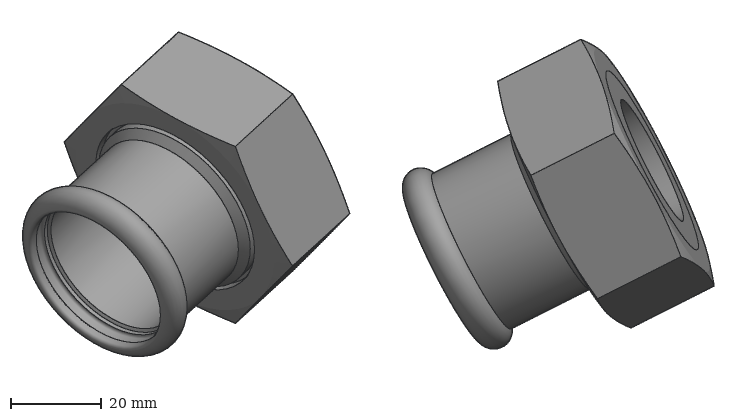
import cadquery as cq
import math

HEX_CORNERS = 63.5
HEX_FLATS = HEX_CORNERS * math.cos(math.radians(30))
NUT_LENGTH = 23.0
NUT_BORE = 44.15
CORNER_CHAMFER = 1.15

TOTAL_LENGTH = 52.15
COLLAR_DIAMETER = 42.2
FLANGE_LENGTH = 20.65
COLLAR_END = 23.25
TUBE_DIAMETER = 38.4
TUBE_BORE = 34.55
REAR_BORE = 30.0
STOP_BORE = 31.0
STOP_CHAMFER = (STOP_BORE - REAR_BORE) / 2
STOP_DEPTH = COLLAR_END

BEAD_DIAMETER = 43.8
BEAD_WIDTH = 7.5
GROOVE_DIAMETER = 37.35
GROOVE_WIDTH = 3.0
GROOVE_CORNER_RADIUS = 0.65
MOUTH_DIAMETER = 37.4
LIP_BORE = 35.8
LIP_BORE_DEPTH = 6.2
LEAD_IN_LENGTH = 0.5

BACK_Y = TOTAL_LENGTH / 2


def along(distance):
    """Y position at a distance in front of the back face."""
    return BACK_Y - distance


def revolve_about_y(profile):
    return profile.close().revolve(360, (0, 0, 0), (0, 1, 0))


def make_nut():
    hexagon = (
        cq.Workplane("XZ", origin=(0, BACK_Y, 0))
        .polygon(6, HEX_CORNERS)
        .extrude(NUT_LENGTH)
    )
    corner = HEX_CORNERS / 2
    flat = HEX_FLATS / 2
    bore = NUT_BORE / 2
    envelope = revolve_about_y(
        cq.Workplane("XY")
        .moveTo(bore, along(0))
        .lineTo(flat, along(0))
        .lineTo(corner, along(CORNER_CHAMFER))
        .lineTo(corner, along(NUT_LENGTH - CORNER_CHAMFER))
        .lineTo(flat, along(NUT_LENGTH))
        .lineTo(bore, along(NUT_LENGTH))
    )
    return hexagon.intersect(envelope)


def make_plain_fitting():
    collar = COLLAR_DIAMETER / 2
    tube = TUBE_DIAMETER / 2
    bead_radius = BEAD_WIDTH / 2
    bead_center = BEAD_DIAMETER / 2 - bead_radius
    bead_middle = TOTAL_LENGTH - bead_radius
    bead_start = bead_middle - math.sqrt(bead_radius**2 - (tube - bead_center) ** 2)
    mouth = MOUTH_DIAMETER / 2
    mouth_end = bead_middle + math.sqrt(bead_radius**2 - (mouth - bead_center) ** 2)
    lip_round = mouth - LIP_BORE / 2
    lead_in_start = TOTAL_LENGTH - LIP_BORE_DEPTH
    cone_end = COLLAR_END + collar - tube
    return revolve_about_y(
        cq.Workplane("XY")
        .moveTo(REAR_BORE / 2, along(0))
        .lineTo(NUT_BORE / 2, along(0))
        .lineTo(NUT_BORE / 2, along(FLANGE_LENGTH))
        .lineTo(collar, along(FLANGE_LENGTH))
        .lineTo(collar, along(COLLAR_END))
        .lineTo(tube, along(cone_end))
        .lineTo(tube, along(bead_start))
        .threePointArc((BEAD_DIAMETER / 2, along(bead_middle)), (mouth, along(mouth_end)))
        .radiusArc((LIP_BORE / 2, along(mouth_end - lip_round)), lip_round)
        .lineTo(LIP_BORE / 2, along(lead_in_start))
        .lineTo(TUBE_BORE / 2, along(lead_in_start - LEAD_IN_LENGTH))
        .lineTo(TUBE_BORE / 2, along(STOP_DEPTH))
        .lineTo(STOP_BORE / 2, along(STOP_DEPTH))
        .lineTo(REAR_BORE / 2, along(STOP_DEPTH - STOP_CHAMFER))
    )


def cut_seal_groove(body):
    middle = TOTAL_LENGTH - BEAD_WIDTH / 2
    start = along(middle - GROOVE_WIDTH / 2)
    end = along(middle + GROOVE_WIDTH / 2)
    inside = LIP_BORE / 2
    floor = GROOVE_DIAMETER / 2
    corner = GROOVE_CORNER_RADIUS
    groove = revolve_about_y(
        cq.Workplane("XY")
        .moveTo(inside, start)
        .lineTo(floor - corner, start)
        .tangentArcPoint((floor, start - corner), relative=False)
        .lineTo(floor, end + corner)
        .tangentArcPoint((floor - corner, end), relative=False)
        .lineTo(inside, end)
    )
    return body.cut(groove)


nut = make_nut()
fitting = cut_seal_groove(make_plain_fitting())

result = cq.Compound.makeCompound([nut.val(), fitting.val()])